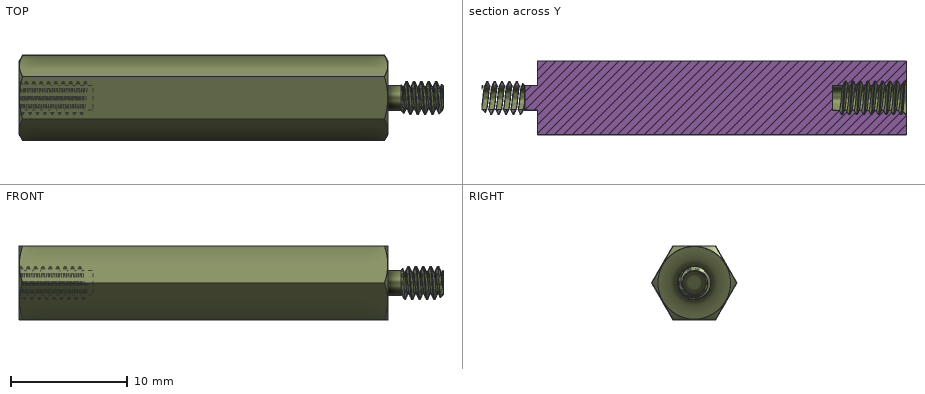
import cadquery as cq
import math

flats = 6.35
body_length = 31.75
face_diameter = 6.25
end_chamfer_angle = 30.0
corner_diameter = flats / math.cos(math.pi / 6)

major_diameter = 2.845
minor_diameter = 2.1
pitch = 0.635
crest_width = pitch / 8
root_width = pitch * 3 / 4
overlap = 0.05

stud_length = 4.7625
neck_diameter = 2.15
neck_length = 1.1
tip_chamfer = 0.42
first_crest_offset = 0.8
stud_end = body_length + stud_length

hole_depth = 6.35
mouth_diameter = 3.0
groove_start_angle = 90


def cylinder_along_x(diameter, start, end):
    return cq.Workplane("YZ", origin=(start, 0, 0)).circle(diameter / 2).extrude(end - start)


def revolve_about_x(points):
    """Revolve a closed (x, radius) outline about the X axis."""
    return cq.Workplane("XY").polyline(points).close().revolve(360, (0, 0, 0), (1, 0, 0))


def helical_ridge(start, end, start_angle=0):
    """Right-handed thread ridge about X, its root sunk slightly below the minor diameter."""
    inner = minor_diameter / 2 - overlap
    outer = major_diameter / 2
    profile = [
        (inner, -root_width / 2),
        (outer, -crest_width / 2),
        (outer, crest_width / 2),
        (inner, root_width / 2),
    ]
    helix = cq.Workplane(obj=cq.Wire.makeHelix(pitch, end - start, inner))
    ridge = cq.Workplane("XZ").polyline(profile).close().sweep(helix, isFrenet=True)
    along_x = ridge.rotate((0, 0, 0), (0, 1, 0), 90)
    return along_x.rotate((0, 0, 0), (1, 0, 0), start_angle).translate((start, 0, 0))


def make_body():
    """Hexagonal bar with flats facing +Z and -Z and conical chamfers at both ends."""
    hexagon = cq.Workplane("YZ").polygon(6, corner_diameter).extrude(body_length)
    corner_radius = corner_diameter / 2
    face_radius = face_diameter / 2
    chamfer_length = (corner_radius - face_radius) * math.tan(math.radians(end_chamfer_angle))
    envelope = revolve_about_x(
        [
            (0, 0),
            (0, face_radius),
            (chamfer_length, corner_radius),
            (body_length - chamfer_length, corner_radius),
            (body_length, face_radius),
            (body_length, 0),
        ]
    )
    return hexagon.intersect(envelope)


def make_stud():
    """Plain neck, then an external thread that starts on a cone and ends in a chamfered tip."""
    thread_start = body_length + neck_length
    neck_radius = neck_diameter / 2
    limit_radius = major_diameter / 2 + overlap
    tip_radius = major_diameter / 2 - tip_chamfer
    envelope = revolve_about_x(
        [
            (thread_start, 0),
            (thread_start, neck_radius),
            (thread_start + limit_radius - neck_radius, limit_radius),
            (stud_end - (limit_radius - tip_radius), limit_radius),
            (stud_end, tip_radius),
            (stud_end, 0),
        ]
    )
    core = cylinder_along_x(minor_diameter, thread_start, stud_end)
    ridge = helical_ridge(body_length + first_crest_offset, stud_end + pitch)
    threaded_end = core.union(ridge).intersect(envelope)
    return cylinder_along_x(neck_diameter, body_length - overlap, thread_start).union(threaded_end)


def make_tapped_hole():
    """Cutter for the blind threaded hole and its 45 degree conical mouth."""
    bore = cylinder_along_x(minor_diameter, -pitch, hole_depth)
    groove = helical_ridge(-pitch, hole_depth - pitch, groove_start_angle)
    mouth_radius = mouth_diameter / 2
    mouth = revolve_about_x([(0, 0), (0, mouth_radius), (mouth_radius, 0)])
    return bore.union(groove).union(mouth)


result = make_body().union(make_stud()).cut(make_tapped_hole())